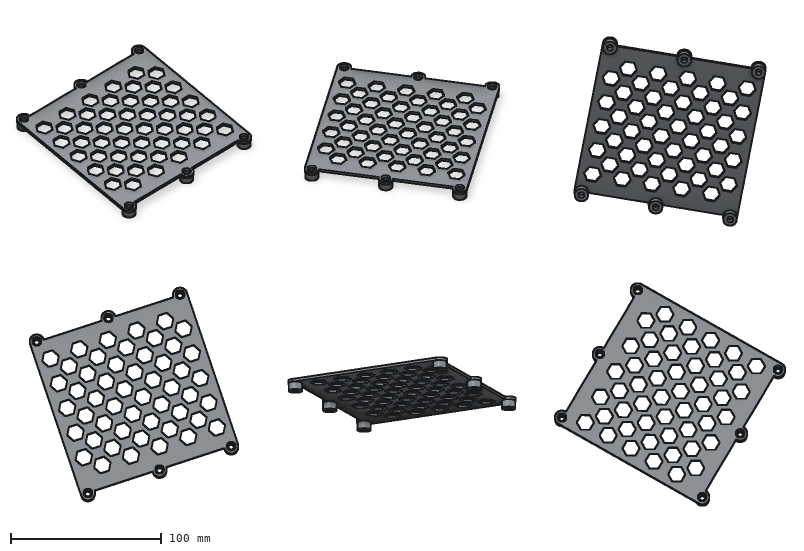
import cadquery as cq
import math

LENGTH_X = 117.1
LENGTH_Y = 109.6
HEIGHT = 7.0

PLATE_WIDTH = 107.0
PLATE_THICKNESS = 2.0
PLATE_BOTTOM = HEIGHT - PLATE_THICKNESS

PAD_DIAMETER = 9.6
FOOT_DIAMETER = 9.0
SCREW_DIAMETER = 4.0
COUNTERSINK_DIAMETER = 6.0
COUNTERSINK_ANGLE = 90.0
MOUNT_X = (LENGTH_X - PAD_DIAMETER) / 2
MOUNT_Y = (LENGTH_Y - PAD_DIAMETER) / 2
MOUNT_POINTS = [(x, y) for x in (-MOUNT_X, MOUNT_X) for y in (-MOUNT_Y, 0, MOUNT_Y)]

VENT_SIDES = 6
VENT_ACROSS_FLATS = 10.0
VENT_CORNER_DIAMETER = VENT_ACROSS_FLATS / math.cos(math.pi / VENT_SIDES)
VENT_ROWS = 10
VENT_COLUMNS = 5
VENT_COLUMN_SPAN = 70.0
VENT_PITCH_X = VENT_COLUMN_SPAN / (VENT_COLUMNS - 1)
VENT_ROW_SPAN = 89.9
VENT_PITCH_Y = VENT_ROW_SPAN / (VENT_ROWS - 1)
VENT_FIELD_SHIFT_X = 0.64


def make_plate():
    """Flat panel at the top, ending level with the outer pads along Y."""
    return (
        cq.Workplane("XY")
        .workplane(offset=PLATE_BOTTOM)
        .rect(PLATE_WIDTH, LENGTH_Y)
        .extrude(PLATE_THICKNESS)
    )


def make_mounts():
    """Pads and feet for every screw position."""
    pads = (
        cq.Workplane("XY")
        .workplane(offset=PLATE_BOTTOM)
        .pushPoints(MOUNT_POINTS)
        .circle(PAD_DIAMETER / 2)
        .extrude(PLATE_THICKNESS)
    )
    feet = cq.Workplane("XY").pushPoints(MOUNT_POINTS).circle(FOOT_DIAMETER / 2).extrude(HEIGHT)
    return pads.union(feet)


def vent_points():
    """Hexagon centres; successive rows sit a quarter pitch left, then right."""
    points = []
    for row in range(VENT_ROWS):
        side = 1 if row % 2 else -1
        stagger = side * VENT_PITCH_X / 4
        y = row * VENT_PITCH_Y - VENT_ROW_SPAN / 2
        for column in range(VENT_COLUMNS):
            x = (column - (VENT_COLUMNS - 1) / 2) * VENT_PITCH_X
            points.append((x + stagger + VENT_FIELD_SHIFT_X, y))
    return points


def make_vents():
    """Hexagonal cutters that pass through the plate."""
    cutter = cq.Workplane("XY").polygon(VENT_SIDES, VENT_CORNER_DIAMETER).extrude(HEIGHT)
    cutter = cutter.rotate((0, 0, 0), (0, 0, 1), 90)
    return cq.Workplane("XY").pushPoints(vent_points()).eachpoint(lambda place: cutter.val().moved(place))


def drill_screw_holes(body):
    """Through holes, countersunk from the top face."""
    return (
        body.faces(">Z")
        .workplane(origin=(0, 0, HEIGHT))
        .pushPoints(MOUNT_POINTS)
        .cskHole(SCREW_DIAMETER, COUNTERSINK_DIAMETER, COUNTERSINK_ANGLE)
    )


panel = make_plate().union(make_mounts()).cut(make_vents())
result = drill_screw_holes(panel)